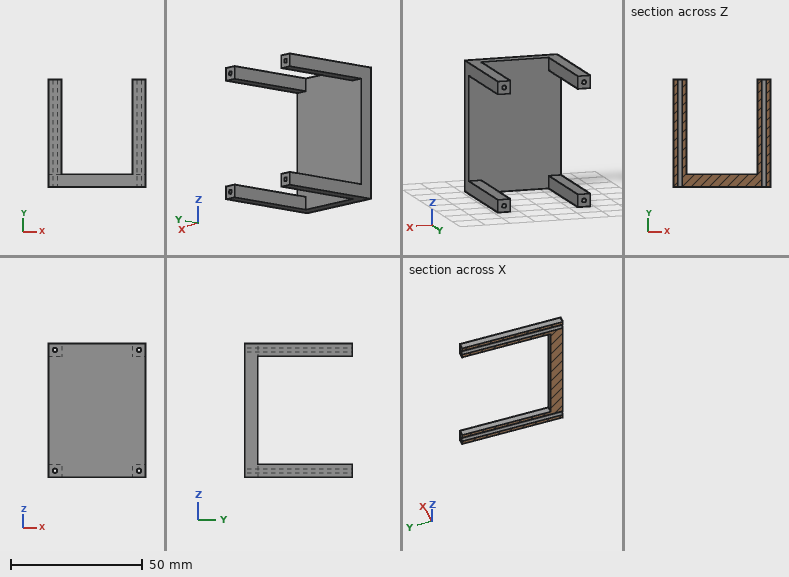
import cadquery as cq

width = 37.0
depth = 41.0
height = 51.0

leg_size = 5.0
plate_thickness = leg_size
hole_diameter = 1.6

leg_spacing_x = width - leg_size
leg_spacing_z = height - leg_size


def corner_workplane():
    """Four leg axes on the outer plate face, centred on the origin in X and Z."""
    return cq.Workplane("XZ").rect(leg_spacing_x, leg_spacing_z, forConstruction=True).vertices()


plate = cq.Workplane("XZ").rect(width, height).extrude(-plate_thickness)
legs = corner_workplane().rect(leg_size, leg_size).extrude(-depth)

holes = corner_workplane().circle(hole_diameter / 2).extrude(-depth)

result = plate.union(legs).cut(holes)